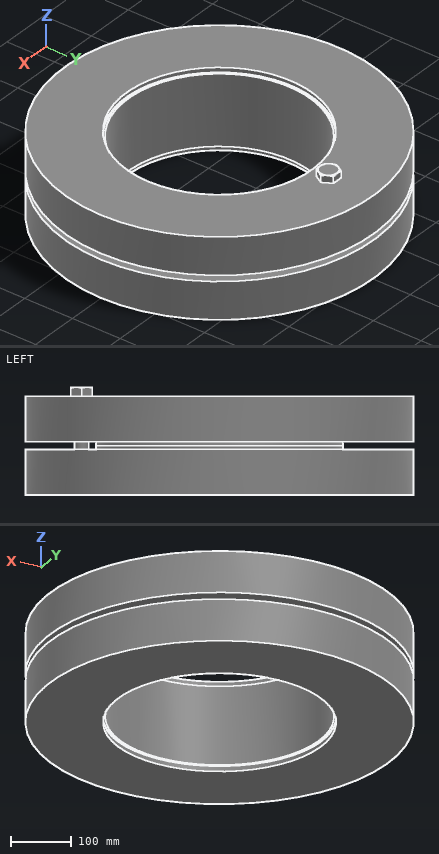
import cadquery as cq
import math

outer_diameter = 645.0
ring_bore = 387.0
ring_thickness = 76.0
ring_gap = 12.0
stack_height = 2 * ring_thickness + ring_gap

seal_bore = 380.0
seal_middle_diameter = 411.5
seal_end_diameter = 389.5
seal_setback = 10.0

bolt_offset = 229.0
shank_diameter = 24.0
shank_engagement = 39.0
head_across_flats = 36.0
head_height = 15.0
head_top_diameter = 35.5
head_chamfer_angle = 30.0


def make_seal_envelope():
    """Solid double cone, which also shapes the seats in the rings."""
    end_radius = seal_end_diameter / 2
    return (
        cq.Workplane("XZ")
        .moveTo(0, seal_setback)
        .lineTo(end_radius, seal_setback)
        .lineTo(seal_middle_diameter / 2, stack_height / 2)
        .lineTo(end_radius, stack_height - seal_setback)
        .lineTo(0, stack_height - seal_setback)
        .close()
        .revolve(360, (0, 0), (0, 1))
    )


def make_ring(bolt_hole_depth):
    """Ring lying on Z = 0, with a conical seat and a bolt hole opening to its upper face."""
    bolt_hole = (
        cq.Workplane("XY").workplane(offset=ring_thickness)
        .center(0, bolt_offset)
        .circle(shank_diameter / 2)
        .extrude(-bolt_hole_depth)
    )
    return (
        cq.Workplane("XY")
        .circle(outer_diameter / 2)
        .circle(ring_bore / 2)
        .extrude(ring_thickness)
        .cut(make_seal_envelope())
        .cut(bolt_hole)
    )


def make_seal():
    """Double-cone seal with a straight bore, bridging the two rings."""
    bore = cq.Workplane("XY").circle(seal_bore / 2).extrude(stack_height)
    return make_seal_envelope().cut(bore)


def make_bolt():
    """Bolt seated on the upper ring, its head corners pointing along X."""
    across_corners = head_across_flats / math.cos(math.radians(30))
    head = cq.Workplane("XY").polygon(6, across_corners).extrude(head_height)

    corner_radius = across_corners / 2
    top_radius = head_top_diameter / 2
    bevel_drop = (corner_radius - top_radius) * math.tan(math.radians(head_chamfer_angle))
    bevel_envelope = (
        cq.Workplane("XZ")
        .moveTo(0, 0)
        .lineTo(corner_radius, 0)
        .lineTo(corner_radius, head_height - bevel_drop)
        .lineTo(top_radius, head_height)
        .lineTo(0, head_height)
        .close()
        .revolve(360, (0, 0), (0, 1))
    )
    shank_length = ring_thickness + ring_gap + shank_engagement
    shank = cq.Workplane("XY").circle(shank_diameter / 2).extrude(-shank_length)
    return head.intersect(bevel_envelope).union(shank).translate((0, bolt_offset, stack_height))


lower_ring = make_ring(shank_engagement)

upper_ring = make_ring(ring_thickness).mirror("XY").translate((0, 0, stack_height))

seal = make_seal()
bolt = make_bolt()

result = cq.Compound.makeCompound([lower_ring.val(), upper_ring.val(), seal.val(), bolt.val()])